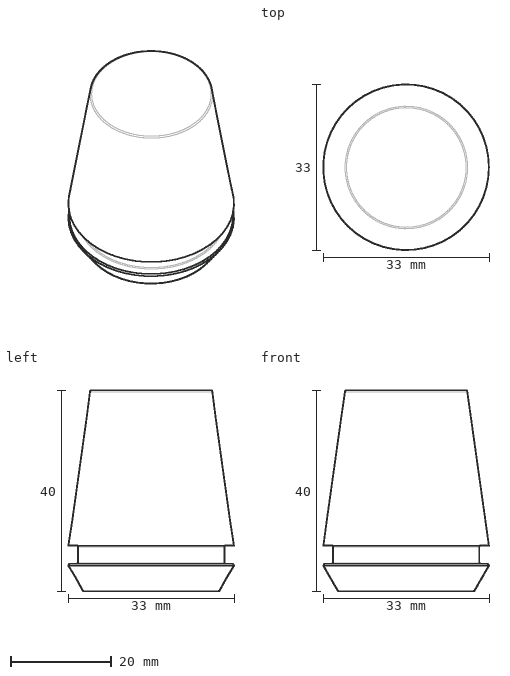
import cadquery as cq
import math

length = 40.0
max_diameter = 33.0
edge_fillet = 0.3

taper_half_angle = math.radians(8.0)
taper_base_z = 9.1

groove_diameter = 29.2
groove_bottom_z = 5.5
groove_fillet = 0.2

clamp_half_angle = math.radians(30.0)
clamp_rim_z = 5.1
rim_half_angle = math.radians(30.0)

max_radius = max_diameter / 2
groove_radius = groove_diameter / 2
groove_floor_edge = groove_radius + groove_fillet
taper_top_radius = max_radius - (length - taper_base_z) * math.tan(taper_half_angle)

rim_top_radius = max_radius - (groove_bottom_z - clamp_rim_z) * math.tan(rim_half_angle)
clamp_bottom_radius = max_radius - clamp_rim_z * math.tan(clamp_half_angle)


def revolved_body():
    """Revolve the half section of the solid body about Z."""
    return (
        cq.Workplane("XZ")
        .moveTo(0, 0)
        .lineTo(clamp_bottom_radius, 0)
        .lineTo(max_radius, clamp_rim_z)
        .lineTo(rim_top_radius, groove_bottom_z)
        .lineTo(groove_floor_edge, groove_bottom_z)
        .radiusArc((groove_radius, groove_bottom_z + groove_fillet), groove_fillet)
        .lineTo(groove_radius, taper_base_z - groove_fillet)
        .radiusArc((groove_floor_edge, taper_base_z), groove_fillet)
        .lineTo(max_radius, taper_base_z)
        .lineTo(taper_top_radius, length)
        .lineTo(0, length)
        .close()
        .revolve(360, (0, 0), (0, 1))
    )


def round_end_edges(body):
    """Round the outer edges of the top and bottom faces."""
    return body.faces("<Z or >Z").edges().fillet(edge_fillet)


result = round_end_edges(revolved_body())